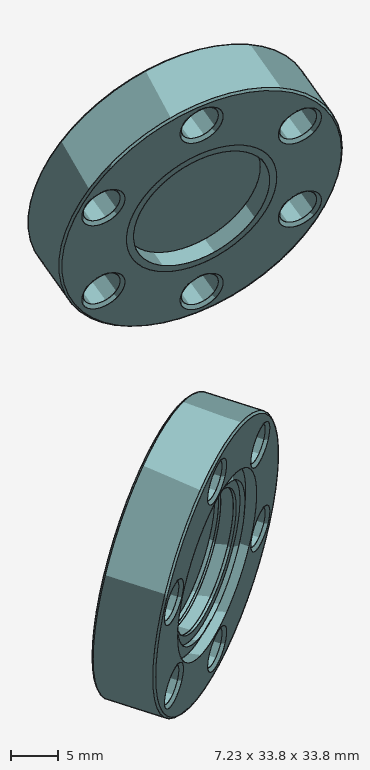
import cadquery as cq
import math

FLANGE_RADIUS = 16.9
FLANGE_THICKNESS = 7.23
RIM_CHAMFER = 0.25
FRONT_X = -FLANGE_THICKNESS / 2
BACK_X = FLANGE_THICKNESS / 2

BOLT_COUNT = 6
BOLT_CIRCLE_RADIUS = 13.5
BOLT_HOLE_RADIUS = 2.2
BOLT_CHAMFER = 0.37

RECESS_RADIUS = 10.7
RECESS_DEPTH = 1.25
KNIFE_RADIUS = 9.15
KNIFE_DEPTH = 0.68
SEAT_DEPTH = 1.25

LIP_RADIUS = 8.15
LIP_DEPTH = 1.6
BORE_RADIUS = 8.17
RING_ENTRY_RADIUS = 8.15
RING_ENTRY_DEPTH = 3.25
RING_INNER_RADIUS = 8.1
RING_OUTER_RADIUS = 8.95
RING_FRONT_DEPTH = 3.0
WINDOW_FRONT_DEPTH = 3.68
WINDOW_THICKNESS = 1.5


def revolve_profile(points):
    """Revolve (x, radius) points about the X axis."""
    return cq.Workplane("XY").polyline(points).close().revolve(360, (0, 0, 0), (1, 0, 0))


def make_flange():
    """Chamfered disc with a knife-edge recess, lipped bore, ring counterbore and bolt holes."""
    ring_front_x = FRONT_X + RING_FRONT_DEPTH
    seat_x = FRONT_X + SEAT_DEPTH
    body = revolve_profile([
        (FRONT_X, RECESS_RADIUS),
        (FRONT_X, FLANGE_RADIUS - RIM_CHAMFER),
        (FRONT_X + RIM_CHAMFER, FLANGE_RADIUS),
        (BACK_X - RIM_CHAMFER, FLANGE_RADIUS),
        (BACK_X, FLANGE_RADIUS - RIM_CHAMFER),
        (BACK_X, RING_OUTER_RADIUS),
        (ring_front_x, RING_OUTER_RADIUS),
        (ring_front_x, BORE_RADIUS),
        (FRONT_X + LIP_DEPTH, BORE_RADIUS),
        (FRONT_X + LIP_DEPTH, LIP_RADIUS),
        (seat_x, LIP_RADIUS),
        (seat_x, KNIFE_RADIUS),
        (FRONT_X + KNIFE_DEPTH, KNIFE_RADIUS),
        (FRONT_X + RECESS_DEPTH, RECESS_RADIUS),
    ])
    bolt_hole = revolve_profile([
        (FRONT_X, 0),
        (FRONT_X, BOLT_HOLE_RADIUS + BOLT_CHAMFER),
        (FRONT_X + BOLT_CHAMFER, BOLT_HOLE_RADIUS),
        (BACK_X - BOLT_CHAMFER, BOLT_HOLE_RADIUS),
        (BACK_X, BOLT_HOLE_RADIUS + BOLT_CHAMFER),
        (BACK_X, 0),
    ])
    for index in range(BOLT_COUNT):
        angle = 2 * math.pi * index / BOLT_COUNT
        hole_y = BOLT_CIRCLE_RADIUS * math.sin(angle)
        hole_z = BOLT_CIRCLE_RADIUS * math.cos(angle)
        body = body.cut(bolt_hole.translate((0, hole_y, hole_z)))
    return body


def make_ring():
    """Sleeve with a slightly wider entry that fills the flange counterbore and holds the window."""
    ring_front_x = FRONT_X + RING_FRONT_DEPTH
    ring_entry_x = FRONT_X + RING_ENTRY_DEPTH
    return revolve_profile([
        (ring_entry_x, RING_INNER_RADIUS),
        (ring_entry_x, RING_ENTRY_RADIUS),
        (ring_front_x, RING_ENTRY_RADIUS),
        (ring_front_x, RING_OUTER_RADIUS),
        (BACK_X, RING_OUTER_RADIUS),
        (BACK_X, RING_INNER_RADIUS),
    ])


def make_window():
    """Flat round pane that fits inside the ring."""
    window_front_x = FRONT_X + WINDOW_FRONT_DEPTH
    window_back_x = window_front_x + WINDOW_THICKNESS
    return revolve_profile([
        (window_front_x, 0),
        (window_front_x, RING_INNER_RADIUS),
        (window_back_x, RING_INNER_RADIUS),
        (window_back_x, 0),
    ])


flange = make_flange()
ring = make_ring()
window = make_window()

result = cq.Compound.makeCompound([flange.val(), ring.val(), window.val()])